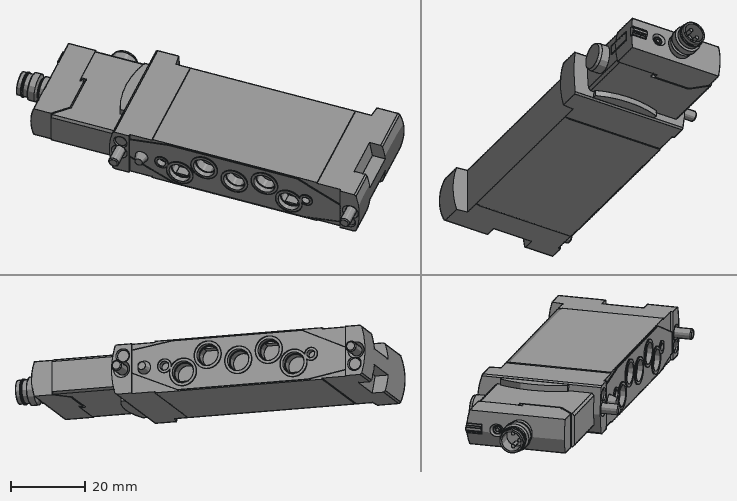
import cadquery as cq
import math


BODY_LEFT = 31.3
BODY_RIGHT = 103.2
BODY_HALF_HEIGHT = 13.7 / 2
END_BULGE = 0.9
END_BEVEL_RUN = 0.5
END_BEVEL_RISE = 0.4
BACK_Y = 30.4
BACK_BULGE = 0.6
LUG_TIP_Y = 34.6
LUG_BULGE = 1.0
LUG_GAP_TIP = (38.6, 95.9)
LUG_GAP_ROOT = (39.1, 95.4)
FACE_X = (37.0, 97.7)
FACE_RECESS = 0.6
PLATE_THICKNESS = 0.3
PLATE_OUTLINE = [
    (FACE_X[0], 5.2), (48.3, BODY_HALF_HEIGHT), (85.2, BODY_HALF_HEIGHT), (FACE_X[1], 1.1),
    (FACE_X[1], -5.1), (87.0, -BODY_HALF_HEIGHT), (49.9, -BODY_HALF_HEIGHT), (FACE_X[0], -1.2),
]
MIDDLE_X = (43.4, 90.9)
MIDDLE_HALF_HEIGHT = 14.4 / 2
MIDDLE_BEVEL_RUN = 1.2

END_POCKET_X = 99.4
END_POCKET_SLOPE = 0.8
END_POCKET_Y = (8.5, 20.3)
END_POCKET_DEPTH = 4.6

LEDGE_TIP_X = 29.2
LEDGE_SHOULDER_X = 31.0
LEDGE_Y = (9.1, 28.1)
LEDGE_TOP_Z = 6.5

PLATE_Y = FACE_RECESS - PLATE_THICKNESS
SEAL_HEIGHT = 0.3
PORT_MIDDLE_X = 67.2
PORT_ROW_Z = 4.2 / 2
PORT_PLACES = [
    (-15.7, -PORT_ROW_Z), (-8.7, PORT_ROW_Z), (0, 0), (8.7, PORT_ROW_Z), (15.7, -PORT_ROW_Z),
]
PORT_SEAL_DIAMETER = 7.6
PORT_MOUTH_DIAMETER = 6.0
PORT_MOUTH_DEPTH = 1.2
PORT_DIAMETER = 5.5
PORT_DEPTH = 4.1
PORT_SHELF_DEPTH = 1.5
PORT_FLAT_Z = 8.6 / 2
PILOT_PORTS = [
    (46.3, 3.8, 2.5), (87.9, 3.6, 2.2),
]
PILOT_DEPTH = 1.5
PEG_X = 40.5
PEG_ROOT_DIAMETER = 3.6
PEG_TIP_DIAMETER = 2.2
PEG_TIP_Y = -2.0

SCREW_PLACES = [
    (34.2, 34.5, 1), (100.7, 100.3, -1),
]
SCREW_DIAMETER = 2.9
SCREW_TIP_BEVEL = 0.3
SCREW_TIP_Y = -4.6
SCREW_ROOT_Y = 10.3
SCREW_RECESS_DIAMETER = 4.5
SCREW_RECESS_DEPTH = 0.8
DIMPLE_MOUTH_DIAMETER = 3.8
DIMPLE_FLOOR_DIAMETER = 3.2
DIMPLE_SHIFT_Z = 3.7
DIMPLE_DEPTH = 0.4

PILOT_HALF_HEIGHT = 9.6 / 2
SOLENOID_FRONT_Y = 1.9
SOLENOID_BEVEL = 0.6
CAP_LEFT = 7.6
CAP_BULGE = 0.8
CAP_FRONT_Y = 2.8
SPLIT_X = 16.3
SPLIT_STEP_X = 17.9
SPLIT_STEP_Y = 18.5
SPLIT_CORNER_Y = 6.7
SPLIT_START_X = 13.8
SPLIT_GAP = 0.4
STEP_NOTCH = 1.0
STEP_NOTCH_DEPTH = 0.5

KNOB_X = 23.4
KNOB_DIAMETER = 7.7
KNOB_TOP_DIAMETER = 7.1
KNOB_BEVEL_Y = 32.6
KNOB_TOP_Y = 33.5

LATCH_FRONT_Y = 26.0
LATCH_STEPS = [
    (7.3, 1.3), (7.0, 0.8), (6.6, 0.4),
]
TONGUE_HALF_WIDTH = 1.3
TONGUE_X = (10.5, 18.5)
TONGUE_BACK_Y = 30.6

LAMP_Y = 21.9
LAMP_MOUTH_DIAMETER = 3.8
LAMP_FLOOR_DIAMETER = 2.5
LAMP_DEPTH = 0.6
LAMP_BORE_DIAMETER = 2.0
LAMP_BORE_DEPTH = 1.5
LAMP_PIN_DIAMETER = 1.0

PLUG_Y = 15.4
PLUG_PROFILE = [
    (0.0, 6.5), (1.1, 6.5), (1.3, 7.0), (1.7, 7.0), (1.9, 6.5), (3.1, 6.5), (3.4, 7.7), (5.3, 7.7),
    (5.8, 5.6), (6.1, 5.6), (6.5, 7.0), (8.8, 7.0),
]
PLUG_BORE_DIAMETER = 5.5
PLUG_BORE_DEPTH = 4.6
CONTACT_DIAMETER = 1.0
CONTACT_RADIUS = 3.6 / 2
CONTACT_TIP_X = 1.5
CONTACT_ANGLES = (-90, 0, 90)

OVERSIZE = 51.6


def block(x_range, y_range, z_range):
    """A box between two limits on each axis."""
    size = [high - low for low, high in (x_range, y_range, z_range)]
    corner = (x_range[0], y_range[0], z_range[0])
    return cq.Workplane("XY").box(*size, centered=False).translate(corner)


def rod_y(diameter, x, z, y_range):
    """A cylinder along Y."""
    length = y_range[1] - y_range[0]
    point = cq.Vector(x, y_range[0], z)
    return cq.Workplane(cq.Solid.makeCylinder(diameter / 2, length, point, cq.Vector(0, 1, 0)))


def cone_y(first_diameter, last_diameter, x, z, y_range):
    """A truncated cone along Y."""
    length = y_range[1] - y_range[0]
    point = cq.Vector(x, y_range[0], z)
    direction = cq.Vector(0, 1, 0)
    return cq.Workplane(
        cq.Solid.makeCone(first_diameter / 2, last_diameter / 2, length, point, direction)
    )


def rod_x(diameter, y, z, x_range):
    """A cylinder along X."""
    length = x_range[1] - x_range[0]
    point = cq.Vector(x_range[0], y, z)
    return cq.Workplane(cq.Solid.makeCylinder(diameter / 2, length, point, cq.Vector(1, 0, 0)))


def prism_y(outline, y_range):
    """An outline drawn in X and Z, spanning a range of Y."""
    return outline.extrude(-(y_range[1] - y_range[0])).translate((0, y_range[0], 0))


def round_backed(x_range, front_y, apex_y, bulge, half_height):
    """A bar along X whose back is an arc in Y and Z."""
    edge_y = apex_y - bulge
    return (
        cq.Workplane("YZ")
        .moveTo(front_y, -half_height)
        .lineTo(edge_y, -half_height)
        .threePointArc((apex_y, 0), (edge_y, half_height))
        .lineTo(front_y, half_height)
        .close()
        .extrude(x_range[1] - x_range[0])
        .translate((x_range[0], 0, 0))
    )


def body_shell():
    """The body with rounded ends, two rounded lugs and a recessed port face."""
    side_z = BODY_HALF_HEIGHT - END_BEVEL_RISE
    left_arc_x = BODY_LEFT + END_BULGE
    right_arc_x = BODY_RIGHT - END_BULGE
    outline = (
        cq.Workplane("XZ")
        .moveTo(left_arc_x, -side_z)
        .threePointArc((BODY_LEFT, 0), (left_arc_x, side_z))
        .lineTo(left_arc_x + END_BEVEL_RUN, BODY_HALF_HEIGHT)
        .lineTo(right_arc_x - END_BEVEL_RUN, BODY_HALF_HEIGHT)
        .lineTo(right_arc_x, side_z)
        .threePointArc((BODY_RIGHT, 0), (right_arc_x, -side_z))
        .lineTo(right_arc_x - END_BEVEL_RUN, -BODY_HALF_HEIGHT)
        .lineTo(left_arc_x + END_BEVEL_RUN, -BODY_HALF_HEIGHT)
        .close()
    )
    shell = prism_y(outline, (0, LUG_TIP_Y))
    shell = shell.intersect(
        round_backed((BODY_LEFT, BODY_RIGHT), 0, LUG_TIP_Y, LUG_BULGE, BODY_HALF_HEIGHT)
    )
    lug_gap = (
        cq.Workplane("XY")
        .polyline([
            (LUG_GAP_ROOT[0], BACK_Y), (LUG_GAP_ROOT[1], BACK_Y),
            (LUG_GAP_TIP[1], LUG_TIP_Y), (LUG_GAP_TIP[0], LUG_TIP_Y),
        ])
        .close()
        .extrude(OVERSIZE, both=True)
    )
    face_recess = block(FACE_X, (0, FACE_RECESS), (-OVERSIZE, OVERSIZE))
    return shell.cut(lug_gap).cut(face_recess)


def port_plate():
    """The raised plate that carries the ports."""
    outline = cq.Workplane("XZ").polyline(PLATE_OUTLINE).close()
    return prism_y(outline, (PLATE_Y, FACE_RECESS))


def middle_slab():
    """The thicker middle, with its back edges bevelled down to the body height."""
    bevel_y = BACK_Y - MIDDLE_BEVEL_RUN
    return (
        cq.Workplane("YZ")
        .polyline([
            (FACE_RECESS, -MIDDLE_HALF_HEIGHT), (bevel_y, -MIDDLE_HALF_HEIGHT),
            (BACK_Y, -BODY_HALF_HEIGHT), (BACK_Y, BODY_HALF_HEIGHT),
            (bevel_y, MIDDLE_HALF_HEIGHT), (FACE_RECESS, MIDDLE_HALF_HEIGHT),
        ])
        .close()
        .extrude(MIDDLE_X[1] - MIDDLE_X[0])
        .translate((MIDDLE_X[0], 0, 0))
    )


def end_pocket():
    """The pocket above, in the far end, with a sloped inner wall."""
    floor_z = BODY_HALF_HEIGHT - END_POCKET_DEPTH
    outline = (
        cq.Workplane("XZ")
        .polyline([
            (END_POCKET_X, floor_z), (BODY_RIGHT, floor_z), (BODY_RIGHT, BODY_HALF_HEIGHT),
            (END_POCKET_X - END_POCKET_SLOPE, BODY_HALF_HEIGHT),
        ])
        .close()
    )
    return prism_y(outline, END_POCKET_Y)


def ledge():
    """The curved ledge that lies on the upper side of the solenoid."""
    root_x = BODY_LEFT + END_BULGE
    return (
        cq.Workplane("XY")
        .workplane(offset=PILOT_HALF_HEIGHT)
        .moveTo(root_x, LEDGE_Y[0])
        .lineTo(LEDGE_SHOULDER_X, LEDGE_Y[0])
        .threePointArc((LEDGE_TIP_X, sum(LEDGE_Y) / 2), (LEDGE_SHOULDER_X, LEDGE_Y[1]))
        .lineTo(root_x, LEDGE_Y[1])
        .close()
        .extrude(LEDGE_TOP_Z - PILOT_HALF_HEIGHT)
    )


def add_port(body, x, z):
    """A main port: a seal ring, a wider mouth and a hole whose outer side turns flat."""
    seal_y = PLATE_Y - SEAL_HEIGHT
    shelf_y = PLATE_Y + PORT_SHELF_DEPTH
    floor_y = PLATE_Y + PORT_DEPTH
    seal = rod_y(PORT_SEAL_DIAMETER, x, z, (seal_y, PLATE_Y))
    mouth = rod_y(PORT_MOUTH_DIAMETER, x, z, (seal_y, PLATE_Y + PORT_MOUTH_DEPTH))
    upper_hole = rod_y(PORT_DIAMETER, x, z, (seal_y, shelf_y))
    lower_hole = rod_y(PORT_DIAMETER, x, z, (shelf_y, floor_y))
    flats = block((0, BODY_RIGHT), (shelf_y, floor_y), (-PORT_FLAT_Z, PORT_FLAT_Z))
    return body.union(seal).cut(mouth).cut(upper_hole).cut(lower_hole.intersect(flats))


def add_pilot_port(body, x, seal_diameter, hole_diameter):
    """A small port with a seal ring."""
    seal_y = PLATE_Y - SEAL_HEIGHT
    seal = rod_y(seal_diameter, x, 0, (seal_y, PLATE_Y))
    hole = rod_y(hole_diameter, x, 0, (seal_y, PLATE_Y + PILOT_DEPTH))
    return body.union(seal).cut(hole)


def cut_screw_seat(body, x, dimple_x, dimple_side):
    """The tapered recess and hole for a screw, and the tapered dimple beside it."""
    recess = cone_y(SCREW_RECESS_DIAMETER, SCREW_DIAMETER, x, 0, (0, SCREW_RECESS_DEPTH))
    hole = rod_y(SCREW_DIAMETER, x, 0, (0, SCREW_ROOT_Y))
    dimple = cone_y(
        DIMPLE_MOUTH_DIAMETER, DIMPLE_FLOOR_DIAMETER,
        dimple_x, dimple_side * DIMPLE_SHIFT_Z, (0, DIMPLE_DEPTH),
    )
    return body.cut(recess).cut(hole).cut(dimple)


def make_valve_body():
    body = body_shell().union(port_plate()).union(middle_slab())
    upper_pocket = end_pocket()
    upper_ledge = ledge()
    body = body.cut(upper_pocket).cut(upper_pocket.mirror("XY"))
    body = body.union(upper_ledge).union(upper_ledge.mirror("XY"))
    for offset_x, z in PORT_PLACES:
        body = add_port(body, PORT_MIDDLE_X + offset_x, z)
    for x, seal_diameter, hole_diameter in PILOT_PORTS:
        body = add_pilot_port(body, x, seal_diameter, hole_diameter)
    body = body.union(
        cone_y(PEG_TIP_DIAMETER, PEG_ROOT_DIAMETER, PEG_X, 0, (PEG_TIP_Y, PLATE_Y))
    )
    for x, dimple_x, dimple_side in SCREW_PLACES:
        body = cut_screw_seat(body, x, dimple_x, dimple_side)
    return body


def make_screw(x):
    """A screw with a bevelled tip, standing out of the mounting face."""
    return rod_y(SCREW_DIAMETER, x, 0, (SCREW_TIP_Y, SCREW_ROOT_Y)).faces("<Y").chamfer(SCREW_TIP_BEVEL)


def make_knob():
    """The override knob, with a tapered top."""
    knob = rod_y(KNOB_DIAMETER, KNOB_X, 0, (BACK_Y - BACK_BULGE, KNOB_BEVEL_Y))
    top = cone_y(KNOB_DIAMETER, KNOB_TOP_DIAMETER, KNOB_X, 0, (KNOB_BEVEL_Y, KNOB_TOP_Y))
    return knob.union(top)


def make_solenoid(valve_body):
    bar = round_backed(
        (SPLIT_START_X, BODY_LEFT + END_BULGE), SOLENOID_FRONT_Y, BACK_Y, BACK_BULGE, PILOT_HALF_HEIGHT
    )
    bar = bar.edges("|X").chamfer(SOLENOID_BEVEL)
    corner_y = SPLIT_CORNER_Y - (SPLIT_STEP_X - SPLIT_START_X)
    cap_space = (
        cq.Workplane("XY")
        .polyline([
            (SPLIT_START_X, corner_y), (SPLIT_STEP_X, SPLIT_CORNER_Y), (SPLIT_STEP_X, SPLIT_STEP_Y),
            (SPLIT_X, SPLIT_STEP_Y), (SPLIT_X, BACK_Y), (SPLIT_START_X, BACK_Y),
        ])
        .close()
        .extrude(OVERSIZE, both=True)
    )
    return bar.cut(cap_space).union(make_knob()).cut(valve_body)


def cap_shell():
    """The cap block with a rounded left face and back, stepped along the solenoid."""
    arc_x = CAP_LEFT + CAP_BULGE
    outline = (
        cq.Workplane("XZ")
        .moveTo(SPLIT_STEP_X, -PILOT_HALF_HEIGHT)
        .lineTo(arc_x, -PILOT_HALF_HEIGHT)
        .threePointArc((CAP_LEFT, 0), (arc_x, PILOT_HALF_HEIGHT))
        .lineTo(SPLIT_STEP_X, PILOT_HALF_HEIGHT)
        .close()
    )
    step_x = SPLIT_STEP_X - SPLIT_GAP
    start_x = SPLIT_START_X - SPLIT_GAP
    corner_y = CAP_FRONT_Y + step_x - start_x
    plan = (
        cq.Workplane("XY")
        .polyline([
            (CAP_LEFT, CAP_FRONT_Y), (start_x, CAP_FRONT_Y), (step_x, corner_y),
            (step_x, SPLIT_STEP_Y), (SPLIT_X, SPLIT_STEP_Y),
            (SPLIT_X, BACK_Y), (CAP_LEFT, BACK_Y),
        ])
        .close()
        .extrude(OVERSIZE, both=True)
    )
    back = round_backed((CAP_LEFT, SPLIT_STEP_X), CAP_FRONT_Y, BACK_Y, BACK_BULGE, PILOT_HALF_HEIGHT)
    notch = block(
        (SPLIT_X, SPLIT_STEP_X), (SPLIT_STEP_Y - STEP_NOTCH, SPLIT_STEP_Y),
        (PILOT_HALF_HEIGHT - STEP_NOTCH_DEPTH, PILOT_HALF_HEIGHT),
    )
    shell = prism_y(outline, (CAP_FRONT_Y, BACK_Y)).intersect(plan).intersect(back)
    return shell.cut(notch).cut(notch.mirror("XY"))


def latch():
    """The stepped latch nose on the left face and its tongue along the back."""
    root_x = CAP_LEFT + CAP_BULGE
    y_range = (LATCH_FRONT_Y, BACK_Y)
    nose = cq.Workplane("XY")
    for step_x, half_width in LATCH_STEPS:
        nose = nose.union(block((step_x, root_x), y_range, (-half_width, half_width)))
    tongue = block(
        TONGUE_X, (BACK_Y - BACK_BULGE, TONGUE_BACK_Y), (-TONGUE_HALF_WIDTH, TONGUE_HALF_WIDTH)
    )
    return nose, tongue


def connector():
    """The round plug, hollow at the tip, with three contacts inside."""
    profile = [(x, diameter / 2) for x, diameter in PLUG_PROFILE]
    plug = (
        cq.Workplane("XY")
        .polyline([(profile[0][0], 0), *profile, (profile[-1][0], 0)])
        .close()
        .revolve(360, (0, 0, 0), (1, 0, 0))
        .translate((0, PLUG_Y, 0))
    )
    plug = plug.cut(rod_x(PLUG_BORE_DIAMETER, PLUG_Y, 0, (0, PLUG_BORE_DEPTH)))
    for angle in CONTACT_ANGLES:
        y = PLUG_Y - CONTACT_RADIUS * math.cos(math.radians(angle))
        z = CONTACT_RADIUS * math.sin(math.radians(angle))
        plug = plug.union(rod_x(CONTACT_DIAMETER, y, z, (CONTACT_TIP_X, PLUG_BORE_DEPTH)))
    return plug


def lamp_recess():
    """The tapered recess of the indicator lamp, with a ring-shaped bore around a pin."""
    floor_x = CAP_LEFT + LAMP_DEPTH
    bore_x = (floor_x, floor_x + LAMP_BORE_DEPTH)
    mouth = cq.Solid.makeCone(
        LAMP_MOUTH_DIAMETER / 2, LAMP_FLOOR_DIAMETER / 2, LAMP_DEPTH,
        cq.Vector(CAP_LEFT, LAMP_Y, 0), cq.Vector(1, 0, 0),
    )
    bore = rod_x(LAMP_BORE_DIAMETER, LAMP_Y, 0, bore_x).cut(rod_x(LAMP_PIN_DIAMETER, LAMP_Y, 0, bore_x))
    return cq.Workplane(mouth).union(bore)


def make_cap(solenoid):
    nose, tongue = latch()
    cap = cap_shell().union(nose).union(tongue).cut(solenoid)
    return cap.cut(lamp_recess()).union(connector())


valve_body = make_valve_body()
screws = [make_screw(x) for x, _, _ in SCREW_PLACES]
solenoid = make_solenoid(valve_body)
cap = make_cap(solenoid)

result = cq.Compound.makeCompound([
    valve_body.solids().val(),
    solenoid.solids().val(),
    cap.solids().val(),
    *[screw.solids().val() for screw in screws],
])